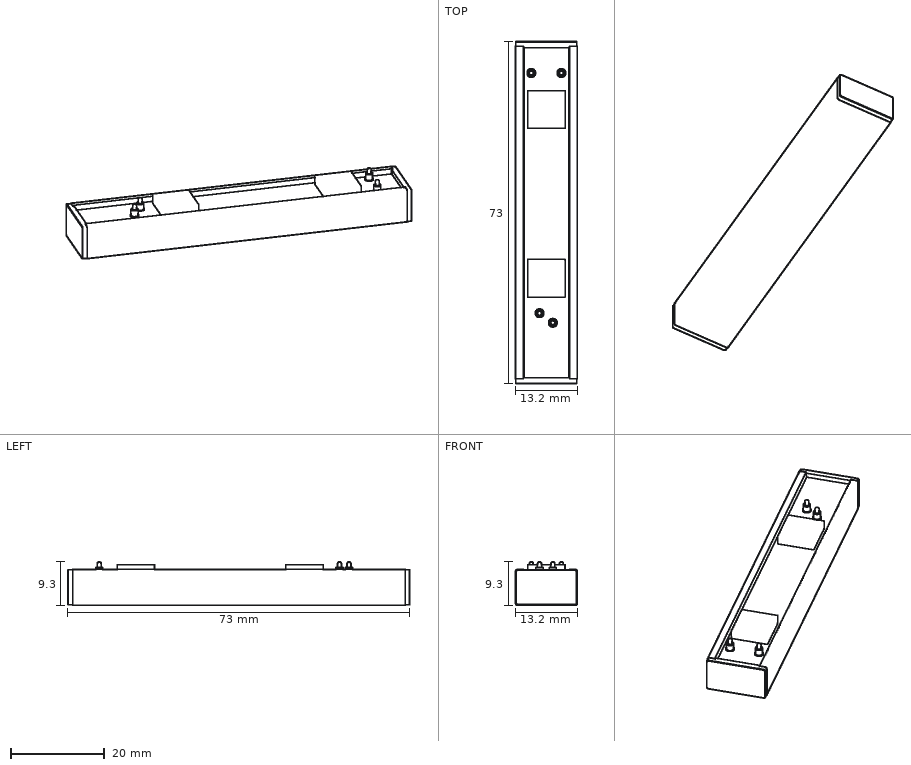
import cadquery as cq
import math

overall_length = 73.0
overall_height = 9.3

cap_thickness = 1.0
channel_length = overall_length - 2 * cap_thickness
channel_width = 13.2
channel_height = 7.7
channel_edge_radius = 0.5
trough_width = 9.9
trough_depth = 1.1
trough_side_slope = 0.2
trough_floor_width = trough_width - 2 * trough_side_slope
floor_z = channel_height - trough_depth

cap_inset = 0.1
cap_width = channel_width - 2 * cap_inset
cap_height = channel_height - 2 * cap_inset
cap_edge_radius = channel_edge_radius - cap_inset
cap_end_chamfer = 0.11
plug_length = 0.3
plug_height = channel_height - cap_inset - floor_z

block_side = 8.0
block_top = 8.7
block_height = block_top - floor_z
block_edge_radius = 0.11
block_positions_y = (22.0, -14.0)

pin_positions = ((-3.2, 29.8), (3.2, 29.8), (-1.45, -21.45), (1.4, -23.5))
flange_radius = 1.8 / 2
flange_height = 0.11
collar_radius = 1.5 / 2
collar_top = 8.1
collar_chamfer = 0.11
post_radius = 0.9 / 2
post_top = overall_height - post_radius


def make_pin_shape(x, y):
    """Flange, chamfered collar and post with a hemispherical tip, turned about a vertical axis."""
    flange_top = floor_z + flange_height
    diagonal = post_radius * math.sqrt(0.5)
    half_section = (
        cq.Workplane("XZ")
        .moveTo(0, floor_z)
        .lineTo(flange_radius, floor_z)
        .lineTo(flange_radius, flange_top)
        .lineTo(collar_radius, flange_top)
        .lineTo(collar_radius, collar_top - collar_chamfer)
        .lineTo(collar_radius - collar_chamfer, collar_top)
        .lineTo(post_radius, collar_top)
        .lineTo(post_radius, post_top)
        .threePointArc((diagonal, post_top + diagonal), (0, overall_height))
        .close()
    )
    return half_section.revolve(360, (0, 0, 0), (0, 1, 0)).translate((x, y, 0))


def make_trough_prism(length, height):
    """Prism with the trough's sloping sides, rising from the floor and running from Y = 0 toward +Y."""
    half_floor = trough_floor_width / 2
    half_top = half_floor + trough_side_slope * height / trough_depth
    section = [
        (-half_floor, floor_z),
        (half_floor, floor_z),
        (half_top, floor_z + height),
        (-half_top, floor_z + height),
    ]
    return cq.Workplane("XZ").polyline(section).close().extrude(-length)


def make_channel():
    """Rounded bar with the trough, and the contact pins formed on its floor."""
    bar = cq.Workplane("XY").box(channel_width, channel_length, channel_height, centered=(True, True, False))
    bar = bar.edges("|Y").fillet(channel_edge_radius)
    bar = bar.cut(make_trough_prism(channel_length, trough_depth).translate((0, -channel_length / 2, 0)))
    for x, y in pin_positions:
        bar = bar.union(make_pin_shape(x, y))
    return bar


def make_cap(turn):
    """End cap for the +Y end, turned about Z by the given angle."""
    plate = (
        cq.Workplane("XY")
        .box(cap_width, cap_thickness, cap_height, centered=(True, False, False))
        .edges("|Y")
        .fillet(cap_edge_radius)
        .faces(">Y")
        .chamfer(cap_end_chamfer)
        .translate((0, channel_length / 2, cap_inset))
    )
    plug_start = channel_length / 2 - plug_length
    plug = make_trough_prism(plug_length, plug_height).translate((0, plug_start, 0))
    return plate.union(plug).rotate((0, 0, 0), (0, 0, 1), turn)


def make_block(y):
    """Square block with lightly rounded vertical and top edges."""
    return (
        cq.Workplane("XY")
        .box(block_side, block_side, block_height, centered=(True, True, False))
        .edges("|Z or >Z")
        .fillet(block_edge_radius)
        .translate((0, y, floor_z))
    )


channel = make_channel()
caps = [make_cap(turn) for turn in (0, 180)]
blocks = [make_block(y) for y in block_positions_y]

result = cq.Compound.makeCompound([
    channel.val(),
    *[cap.val() for cap in caps],
    *[block.val() for block in blocks],
])